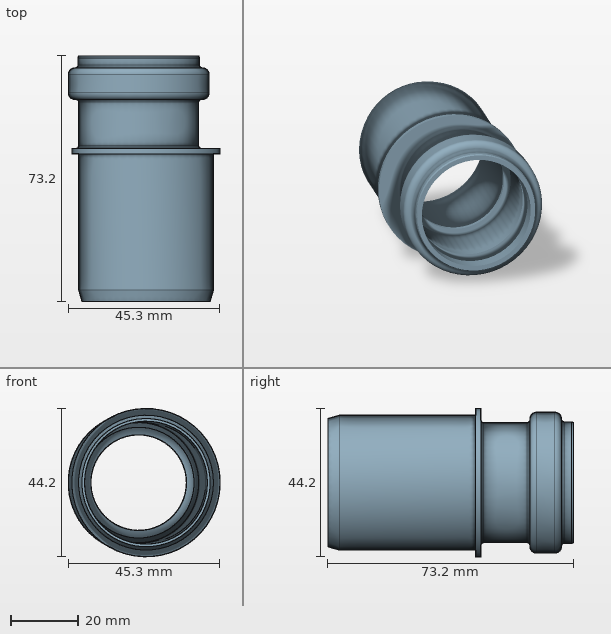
import cadquery as cq

length = 73.2
axis_offset = 2.2
wall = 1.6

spigot_radius = 40.2 / 2
spigot_bore_radius = 36.6 / 2
mouth_radius = 38.2 / 2
taper_length = 3.45
floor_fillet = 0.5

flange_radius = 44.2 / 2
flange_thickness = 1.6
flange_back = 45.6
flange_front = flange_back - flange_thickness

neck_radius = 35.8 / 2
lip_radius = 36.2 / 2
lip_end_radius = neck_radius
lip_taper_length = 0.65
bead_radius = 42.0 / 2
bead_front = 60.2
bead_back = 69.6
bead_round = 2.05
root_fillet = 0.8

stop_bore_radius = 28.4 / 2
nose_tip_radius = 33.0 / 2
nose_chamfer_length = 1.6
nose_length = 3.2
nose_root_fillet = 0.2
nose_tip = flange_front - nose_length


def revolve_about_y(profile, axis_x=0.0):
    """Turn a closed (radius, y) profile around the Y direction through axis_x."""
    return profile.close().revolve(360, (0, 0, 0), (0, 1, 0)).translate((axis_x, 0, 0))


def cylinder(radius, start, end, axis_x=0.0):
    return revolve_about_y(
        cq.Workplane("XY").moveTo(0, start).lineTo(radius, start).lineTo(radius, end).lineTo(0, end),
        axis_x,
    )


def spigot_body():
    return revolve_about_y(
        cq.Workplane("XY")
        .lineTo(mouth_radius, 0)
        .lineTo(spigot_radius, taper_length)
        .lineTo(spigot_radius, flange_front)
        .lineTo(flange_radius, flange_front)
        .lineTo(flange_radius, flange_back)
        .lineTo(0, flange_back)
    )


def socket_body():
    return revolve_about_y(
        cq.Workplane("XY")
        .moveTo(0, flange_front)
        .lineTo(neck_radius + root_fillet, flange_front)
        .lineTo(neck_radius + root_fillet, flange_back)
        .radiusArc((neck_radius, flange_back + root_fillet), root_fillet)
        .lineTo(neck_radius, bead_front - root_fillet)
        .radiusArc((neck_radius + root_fillet, bead_front), root_fillet)
        .lineTo(bead_radius - bead_round, bead_front)
        .radiusArc((bead_radius, bead_front + bead_round), -bead_round)
        .lineTo(bead_radius, bead_back - bead_round)
        .radiusArc((bead_radius - bead_round, bead_back), -bead_round)
        .lineTo(lip_radius + root_fillet, bead_back)
        .radiusArc((lip_radius, bead_back + root_fillet), root_fillet)
        .lineTo(lip_radius, length - lip_taper_length)
        .lineTo(lip_end_radius, length)
        .lineTo(0, length),
        -axis_offset,
    )


def socket_nose():
    return revolve_about_y(
        cq.Workplane("XY")
        .moveTo(0, nose_tip)
        .lineTo(nose_tip_radius, nose_tip)
        .lineTo(neck_radius, nose_tip + nose_chamfer_length)
        .lineTo(neck_radius, flange_front - nose_root_fillet)
        .radiusArc((neck_radius + nose_root_fillet, flange_front), nose_root_fillet)
        .lineTo(0, flange_front),
        -axis_offset,
    )


def spigot_bore():
    """Bore with a rounded floor, leaving the socket nose standing on that floor."""
    bore = cylinder(spigot_bore_radius, 0, flange_front)
    return bore.faces(">Y").edges().fillet(floor_fillet).cut(socket_nose())


def socket_bore():
    """Stop hole, pipe bore, seal groove inside the bead and the slightly wider lip bore."""
    stop_hole = cylinder(stop_bore_radius, nose_tip, length, -axis_offset)
    pipe_bore = cylinder(neck_radius - wall, nose_tip + wall, length, -axis_offset)
    seal_groove = cylinder(bead_radius - wall, bead_front + wall, bead_back - wall, -axis_offset)
    lip_bore = cylinder(lip_radius - wall, bead_back - wall, length, -axis_offset)
    return stop_hole.union(pipe_bore).union(seal_groove).union(lip_bore)


body = spigot_body().union(socket_body())
result = body.cut(spigot_bore()).cut(socket_bore())